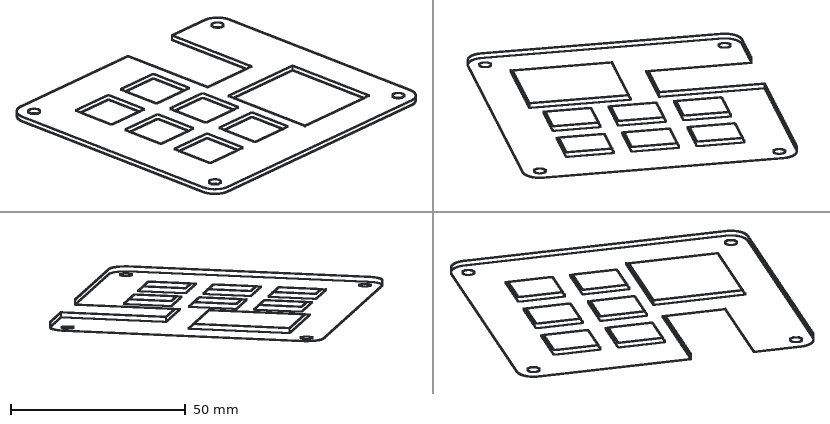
import cadquery as cq

PLATE_WIDTH = 79.95
PLATE_LENGTH = 88.0
PLATE_THICKNESS = 1.5
CORNER_RADIUS = 5.0

SCREW_HOLE_DIAMETER = 3.4

KEY_COLUMNS = 3
KEY_ROWS = 2
KEY_SIZE = 14.0
KEY_PITCH = 19.1
KEY_CORNER_RADIUS = 0.4
KEY_GRID_CENTER = (-0.5, -14.1)

WINDOW_WIDTH = 29.6
WINDOW_LENGTH = 27.3
WINDOW_CENTER = (14.0, 19.7)

NOTCH_DEPTH = 30.8
NOTCH_WIDTH = 18.65
NOTCH_CENTER_Y = 15.75


def rectangular_cutter(width, length, center):
    """Box as thick as the plate, centered on a point of the XY plane."""
    return (
        cq.Workplane("XY")
        .center(*center)
        .rect(width, length)
        .extrude(PLATE_THICKNESS)
    )


def make_plate():
    return (
        cq.Workplane("XY")
        .rect(PLATE_WIDTH, PLATE_LENGTH)
        .extrude(PLATE_THICKNESS)
        .edges("|Z")
        .fillet(CORNER_RADIUS)
    )


def make_screw_holes():
    return (
        cq.Workplane("XY")
        .rect(
            PLATE_WIDTH - 2 * CORNER_RADIUS,
            PLATE_LENGTH - 2 * CORNER_RADIUS,
            forConstruction=True,
        )
        .vertices()
        .circle(SCREW_HOLE_DIAMETER / 2)
        .extrude(PLATE_THICKNESS)
    )


def make_key_openings():
    return (
        cq.Workplane("XY")
        .center(*KEY_GRID_CENTER)
        .rarray(KEY_PITCH, KEY_PITCH, KEY_COLUMNS, KEY_ROWS)
        .rect(KEY_SIZE, KEY_SIZE)
        .extrude(PLATE_THICKNESS)
        .edges("|Z")
        .fillet(KEY_CORNER_RADIUS)
    )


def make_window():
    return rectangular_cutter(WINDOW_WIDTH, WINDOW_LENGTH, WINDOW_CENTER)


def make_notch():
    center_x = (NOTCH_DEPTH - PLATE_WIDTH) / 2
    return rectangular_cutter(NOTCH_DEPTH, NOTCH_WIDTH, (center_x, NOTCH_CENTER_Y))


result = (
    make_plate()
    .cut(make_screw_holes())
    .cut(make_key_openings())
    .cut(make_window())
    .cut(make_notch())
)